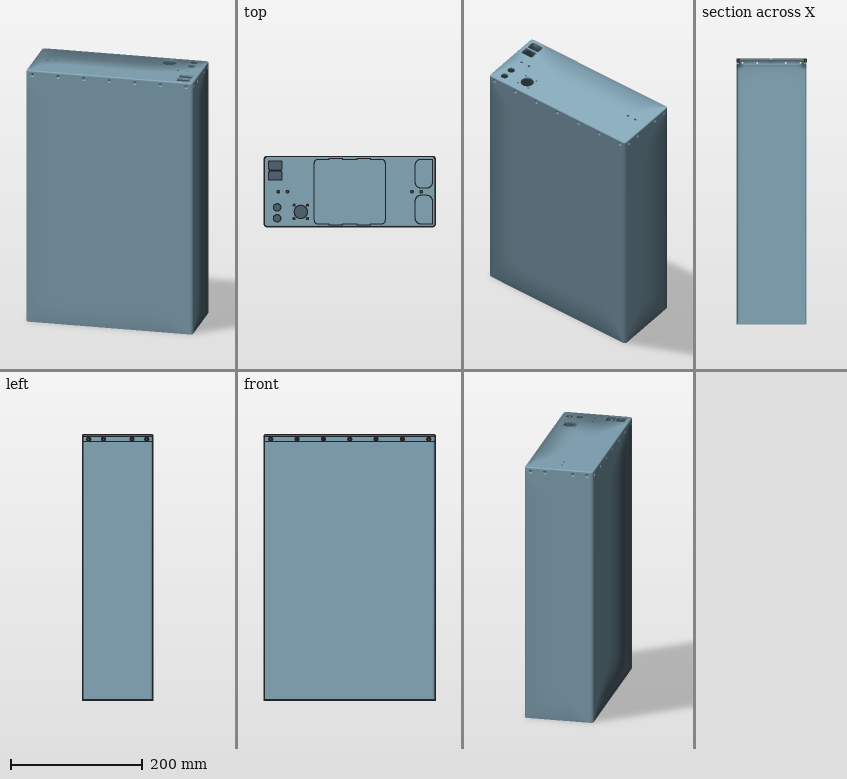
import cadquery as cq

length = 260.0
depth = 107.0
height = 404.0
corner_radius = 4.5
smallest_corner_radius = 1.0

wall = 1.5

plate_thickness = 2.5
top_edge_radius = 2.0
skirt_thickness = 3.0
skirt_height = 7.5
pocket_ceiling = 1.5
pocket_depth = plate_thickness - pocket_ceiling

plate_bottom = height - plate_thickness
skirt_inset = wall + skirt_thickness

screw_drop = 7.0
screw_hole_diameter = 3.2
screw_head_diameter = screw_hole_diameter + 2 * wall
thread_diameter = 2.55
long_side_pitch = 40.0
long_side_screws = 7
short_side_screw_y = [-44.0, -22.0, 22.0, 44.0]
screw_z = height - screw_drop

switch_size = (20.0, 13.7)
switch_corner_radius = 2.0
switch_places = [(-113.0, 40.0), (-113.0, 24.2)]
round_port_diameter = 11.5
round_port_places = [(-110.3, -24.0), (-110.3, -40.5)]
connector_diameter = 20.0
connector_place = (-74.5, -30.7)
connector_screw_pitch = 20.0
connector_screw_diameter = 3.07
handle_hole_diameter = 4.0
outer_handle_hole_x = 108.5
inner_handle_hole_x = 94.5

main_pocket_length = 108.0
main_pocket_depth = depth - 2 * skirt_inset
main_pocket_radius = 5.5
lobe_length = 20.0
lobe_reach = 1.2
lobe_x = 21.5
end_pocket_length = 26.3
end_pocket_depth = 43.5
end_pocket_radius = 9.0


def rounded_block(inset, bottom, top):
    """Block with upright rounded corners, set in from the outer faces."""
    return (
        cq.Workplane("XY", origin=(0, 0, bottom))
        .rect(length - 2 * inset, depth - 2 * inset)
        .extrude(top - bottom)
        .edges("|Z")
        .fillet(max(corner_radius - inset, smallest_corner_radius))
    )


def screw_stations():
    """Outer-face point and inward direction of every rim screw."""
    stations = []
    for i in range(long_side_screws):
        x = (i - (long_side_screws - 1) / 2) * long_side_pitch
        for side in (-1, 1):
            stations.append((cq.Vector(x, side * depth / 2, screw_z), cq.Vector(0, -side, 0)))
    for y in short_side_screw_y:
        for side in (-1, 1):
            stations.append((cq.Vector(side * length / 2, y, screw_z), cq.Vector(-side, 0, 0)))
    return stations


def make_housing():
    """Open-topped box with countersunk screw holes through its rim."""
    housing = rounded_block(0, 0, plate_bottom).cut(rounded_block(wall, wall, height))
    for point, inward in screw_stations():
        sink = cq.Solid.makeCone(screw_head_diameter / 2, screw_hole_diameter / 2, wall, point, inward)
        housing = housing.cut(cq.Workplane(sink))
    return housing


def make_lid():
    """Plate flush with the housing walls, with a screwed skirt that fits inside them."""
    lid = rounded_block(0, plate_bottom, height).faces(">Z").edges().fillet(top_edge_radius)
    skirt = rounded_block(wall, plate_bottom - skirt_height, plate_bottom).cut(
        rounded_block(skirt_inset, plate_bottom - skirt_height, plate_bottom)
    )
    lid = lid.union(skirt)
    lid = lid.cut(openings()).cut(pockets())
    for point, inward in screw_stations():
        thread = cq.Solid.makeCylinder(thread_diameter / 2, skirt_inset, point, inward)
        lid = lid.cut(cq.Workplane(thread))
    return lid


def plate_sketch():
    """Workplane on the underside of the lid plate."""
    return cq.Workplane("XY", origin=(0, 0, plate_bottom))


def openings():
    """Everything cut right through the lid plate."""
    cutter = (
        plate_sketch().pushPoints(switch_places).rect(*switch_size).extrude(plate_thickness)
        .edges("|Z").fillet(switch_corner_radius)
    )
    half_pitch = connector_screw_pitch / 2
    connector_x, connector_y = connector_place
    connector_screw_places = [
        (connector_x + i * half_pitch, connector_y + j * half_pitch)
        for i in (-1, 1)
        for j in (-1, 1)
    ]
    handle_hole_places = [
        (side * x, 0)
        for side in (-1, 1)
        for x in (inner_handle_hole_x, outer_handle_hole_x)
    ]
    holes = [
        (round_port_diameter, round_port_places),
        (connector_diameter, [connector_place]),
        (connector_screw_diameter, connector_screw_places),
        (handle_hole_diameter, handle_hole_places),
    ]
    for diameter, places in holes:
        cutter = cutter.union(plate_sketch().pushPoints(places).circle(diameter / 2).extrude(plate_thickness))
    return cutter


def pockets():
    """Recesses in the underside of the lid plate, leaving a thin skin on top."""
    main = (
        plate_sketch().rect(main_pocket_length, main_pocket_depth).extrude(pocket_depth)
        .edges("|Z").fillet(main_pocket_radius)
    )
    lobes = (
        plate_sketch().pushPoints([(-lobe_x, 0), (lobe_x, 0)])
        .rect(lobe_length, main_pocket_depth + 2 * lobe_reach).extrude(pocket_depth)
    )
    return main.union(lobes).union(end_pocket(-1)).union(end_pocket(1))


def end_pocket(side):
    """Pocket filling one corner of the skirt: square in that corner, rounded at the other three."""
    outer_x = length / 2 - skirt_inset
    outer_y = depth / 2 - skirt_inset
    pocket = (
        plate_sketch()
        .center(outer_x - end_pocket_length / 2, side * (outer_y - end_pocket_depth / 2))
        .rect(end_pocket_length, end_pocket_depth)
        .extrude(pocket_depth)
    )
    y_away = "<Y" if side > 0 else ">Y"
    return pocket.edges(f"|Z and (<X or {y_away})").fillet(end_pocket_radius)


housing = make_housing()
lid = make_lid()
result = cq.Compound.makeCompound([housing.solids().val(), lid.solids().val()])